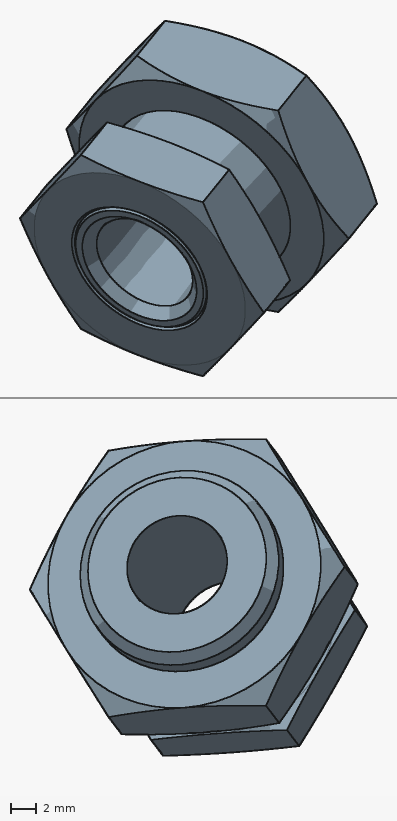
import cadquery as cq
import math


body_hex_corners = 25.4
body_hex_length = 6.5
body_hex_bevel = 30.0
neck_diameter = 16.0
neck_length = 4.98
collar_length = 2.51
collar_chamfer = 0.81
shaft_diameter = 11.84
rim_chamfer = 0.18

mouth_diameter = 10.29
throat_diameter = 8.64
outlet_diameter = 8.08
countersink_depth = (mouth_diameter - throat_diameter) / 2

nut_across_flats = 19.0
nut_length = 5.0
nut_bevel = 15.0

neck_end = nut_length + neck_length
body_hex_end = neck_end + body_hex_length
fitting_length = body_hex_end + collar_length


def revolve_about_y(points):
    """Revolve a closed (radius, y) outline about the Y axis."""
    return cq.Workplane("XY").polyline(points).close().revolve(360, (0, 0, 0), (0, 1, 0))


def bevelled_hexagon(corners, start, length, bevel_angle):
    """Hexagon along Y, with corners on X and a conical bevel at each end."""
    corner_radius = corners / 2
    flat_radius = corner_radius * math.cos(math.pi / 6)
    bevel_length = (corner_radius - flat_radius) * math.tan(math.radians(bevel_angle))
    end = start + length
    prism = (
        cq.Workplane("XZ", origin=(0, start, 0))
        .polygon(6, corners)
        .extrude(-length)
    )
    envelope = revolve_about_y([
        (0, start),
        (flat_radius, start),
        (corner_radius, start + bevel_length),
        (corner_radius, end - bevel_length),
        (flat_radius, end),
        (0, end),
    ])
    return prism.intersect(envelope)


def make_bore():
    return revolve_about_y([
        (0, 0),
        (mouth_diameter / 2, 0),
        (throat_diameter / 2, countersink_depth),
        (outlet_diameter / 2, fitting_length),
        (0, fitting_length),
    ])


def make_fitting():
    shaft_radius = shaft_diameter / 2
    neck_radius = neck_diameter / 2
    core = revolve_about_y([
        (0, 0),
        (shaft_radius - rim_chamfer, 0),
        (shaft_radius, rim_chamfer),
        (shaft_radius, nut_length),
        (neck_radius, nut_length),
        (neck_radius, fitting_length - collar_chamfer),
        (neck_radius - collar_chamfer, fitting_length),
        (0, fitting_length),
    ])
    body_hex = bevelled_hexagon(body_hex_corners, neck_end, body_hex_length, body_hex_bevel)
    return core.union(body_hex).cut(make_bore())


def make_nut():
    shaft_radius = shaft_diameter / 2
    nut_corners = nut_across_flats / math.cos(math.pi / 6)
    hexagon = bevelled_hexagon(nut_corners, 0, nut_length, nut_bevel)
    shaft_hole = revolve_about_y([
        (0, 0),
        (shaft_radius + rim_chamfer, 0),
        (shaft_radius, rim_chamfer),
        (shaft_radius, nut_length),
        (0, nut_length),
    ])
    return hexagon.cut(shaft_hole)


fitting = make_fitting()
nut = make_nut()
result = cq.Compound.makeCompound([fitting.val(), nut.val()])